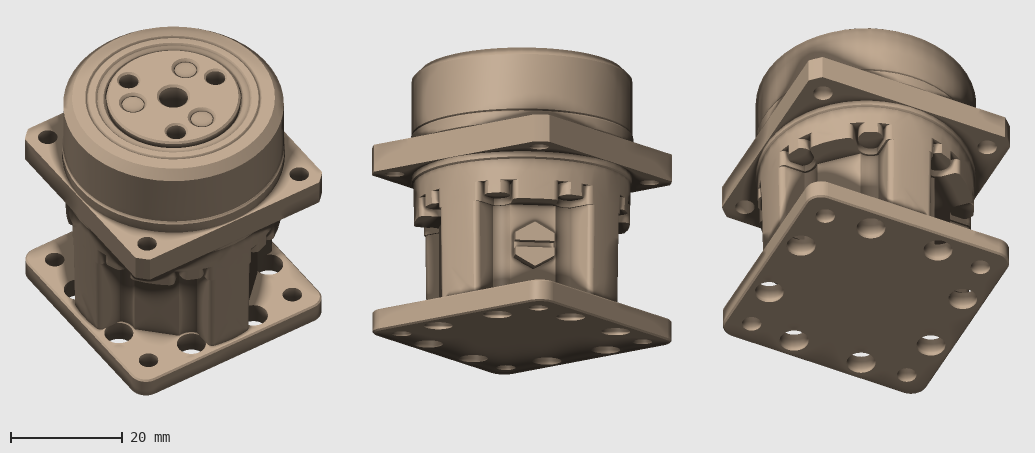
import cadquery as cq
import math

base_top = 4.0
pocket_step = 20.9
boss_bottom = 22.1
pocket_top = 24.4
cone_top = 28.2
flange_bottom = 29.5
flange_top = 34.5
collar_top = 37.1
barrel_top = 49.1
barrel_floor = 48.75
insert_top = 49.5

edge_break = 0.3
flange_width = 40.03
base_corner_radius = 3.0
flange_corner_diameter = 54.0
cone_bottom_radius = 19.05
cone_top_radius = 19.5
shoulder_radius = 19.8
collar_radius = 20.0
sleeve_radius = shoulder_radius
sleeve_chamfer = 1.6
barrel_radius = 15.55
recess_radius = 14.05
recess_slope = barrel_top - barrel_floor
insert_radius = 12.0
insert_gap = 0.3
insert_gap_depth = 1.0
insert_chamfer = 0.35

corner_hole_diameter = 3.5
flange_hole_offset = 16.3
base_hole_offset = 15.4
screw_hole_radius = 2.6
screw_near = 6.65
screw_far = 16.05
boss_radius = 2.3
mouth_fillet = 1.0
lower_channel_radius = 3.0
lower_wall = 4.28
facet_distance = 14.5
upper_wall = 4.68
upper_back_distance = 15.7
pocket_reach = 25.0

centre_hole_radius = 2.6
centre_hole_chamfer = 0.4
centre_hole_depth = 12.0
socket_circle_radius = 9.0
socket_start_angle = 90.0
socket_radius = 1.75
socket_chamfer = 0.35
socket_depth = 10.0
drill_half_angle = 59.0
pin_circle_radius = 7.45
pin_start_angle = 10.0
pin_mouth_radius = 2.55
pin_seat_radius = 2.1
pin_seat_depth = 0.45
pin_radius = 1.95
pin_gap_depth = 0.5
contacts_per_circle = 3

earth_height = 13.0
earth_seat_radius = 3.5
earth_seat_thickness = 0.5
earth_head_thickness = 2.5
earth_across_corners = 8.24
earth_slot_width = 1.25
earth_slot_depth = 1.45


def prism(shape, bottom, top):
    """Extrude a closed XY outline between two heights."""
    return shape.extrude(top - bottom).translate((0, 0, bottom))


def cylinder(x, y, radius, bottom, top):
    return prism(cq.Workplane("XY").center(x, y).circle(radius), bottom, top)


def revolve_outline(points):
    return cq.Workplane("XZ").polyline(points).close().revolve(360, (0, 0, 0), (0, 1, 0))


def square_corners(offset):
    return [(sx * offset, sy * offset) for sx in (-1, 1) for sy in (-1, 1)]


def screw_positions():
    """All eight clearance screw centres."""
    corners = [(sx, sy) for sx in (-1, 1) for sy in (-1, 1)]
    flat = [(sx * screw_near, sy * screw_far) for sx, sy in corners]
    upright = [(sx * screw_far, sy * screw_near) for sx, sy in corners]
    return flat + upright


def corner_block(near_wall, bottom, top):
    """Square block filling the +X +Y quadrant beyond two side walls."""
    size = pocket_reach - near_wall
    outline = cq.Workplane("XY").rect(size, size, centered=False)
    return prism(outline, bottom, top).translate((near_wall, near_wall, 0))


def channel_pair(radius, bottom, top):
    first = cylinder(screw_near, screw_far, radius, bottom, top)
    second = cylinder(screw_far, screw_near, radius, bottom, top)
    return first.union(second)


def lower_pocket():
    """Flat corner face with a round screw channel at each end."""
    block = corner_block(lower_wall, base_top, pocket_step)
    core_length = 2 * pocket_reach
    core = prism(cq.Workplane("XY").rect(2 * facet_distance, core_length), base_top, pocket_step)
    core = core.rotate((0, 0, 0), (0, 0, 1), 45)
    channels = channel_pair(lower_channel_radius, base_top, pocket_step)
    return block.cut(core).union(channels.intersect(block))


def upper_pocket():
    """Two separate screw channels that open outwards, a rib between them and a boss in each."""
    screw_sideways = (screw_far - screw_near) / math.sqrt(2)
    screw_distance = (screw_far + screw_near) / math.sqrt(2)
    half_chord = math.sqrt(screw_hole_radius ** 2 - (screw_distance - upper_back_distance) ** 2)
    rib_width = 2 * (screw_sideways - half_chord)
    block = corner_block(upper_wall, pocket_step, pocket_top)
    core_outline = cq.Workplane("XY").rect(2 * upper_back_distance, 2 * pocket_reach)
    core = prism(core_outline, pocket_step, pocket_top)
    rib = prism(cq.Workplane("XY").rect(2 * pocket_reach, rib_width), pocket_step, pocket_top)
    solid_middle = core.union(rib).rotate((0, 0, 0), (0, 0, 1), 45)
    channels = channel_pair(screw_hole_radius, pocket_step, pocket_top)
    bosses = channel_pair(boss_radius, boss_bottom, pocket_top)
    return block.cut(solid_middle).union(channels.intersect(block)).cut(bosses)


def add_pockets(shell, pocket):
    """Cut one pocket per quarter, then round its upright mouth edges on the cone."""
    for quarter in range(4):
        shell = shell.cut(pocket.rotate((0, 0, 0), (0, 0, 1), 90 * quarter))
    span = pocket.val().BoundingBox()

    def is_mouth_edge(edge):
        box = edge.BoundingBox()
        outside = math.hypot(edge.Center().x, edge.Center().y) > cone_bottom_radius
        full_height = abs(box.zlen - span.zlen) < edge_break
        same_level = abs(box.center.z - span.center.z) < edge_break
        return outside and full_height and same_level

    mouth_edges = [edge for edge in shell.edges().vals() if is_mouth_edge(edge)]
    return shell.newObject(mouth_edges).fillet(mouth_fillet)


def make_shell():
    """Tapered lower shell with wide lower pockets and narrow upper channels."""
    shell = revolve_outline([
        (0, base_top),
        (cone_bottom_radius, base_top),
        (cone_top_radius, cone_top),
        (0, cone_top),
    ])
    shell = add_pockets(shell, lower_pocket())
    return add_pockets(shell, upper_pocket())


def make_base():
    """Square mounting plate with corner holes and screw clearance holes."""
    base = cq.Workplane("XY").box(flange_width, flange_width, base_top, centered=(True, True, False))
    base = base.edges("|Z").fillet(base_corner_radius)
    base = base.faces("<Z or >Z").edges().chamfer(edge_break)
    corner_holes = cq.Workplane("XY").pushPoints(square_corners(base_hole_offset))
    base = base.cut(corner_holes.circle(corner_hole_diameter / 2).extrude(base_top))
    screw_holes = cq.Workplane("XY").pushPoints(screw_positions())
    return base.cut(screw_holes.circle(screw_hole_radius).extrude(base_top))


def make_flange():
    """Square upper flange whose corners are rounded about the axis."""
    outline = cq.Workplane("XY").rect(flange_width, flange_width)
    flange = prism(outline, flange_bottom, flange_top)
    flange = flange.intersect(cylinder(0, 0, flange_corner_diameter / 2, flange_bottom, flange_top))
    holes = cq.Workplane("XY").pushPoints(square_corners(flange_hole_offset))
    return flange.cut(prism(holes.circle(corner_hole_diameter / 2), flange_bottom, flange_top))


def make_turned_body():
    """Shoulder, collar, barrel and insert as one turned outline."""
    gap_outer = insert_radius + insert_gap
    gap_bottom = barrel_floor - insert_gap_depth
    return revolve_outline([
        (0, cone_top),
        (shoulder_radius - edge_break, cone_top),
        (shoulder_radius, cone_top + edge_break),
        (shoulder_radius, flange_bottom),
        (shoulder_radius, flange_top),
        (collar_radius - edge_break, flange_top),
        (collar_radius, flange_top + edge_break),
        (collar_radius, collar_top - edge_break),
        (collar_radius - edge_break, collar_top),
        (barrel_radius, collar_top),
        (barrel_radius, barrel_top - edge_break),
        (barrel_radius - edge_break, barrel_top),
        (recess_radius, barrel_top),
        (recess_radius - recess_slope, barrel_floor),
        (gap_outer + edge_break, barrel_floor),
        (gap_outer, barrel_floor - edge_break),
        (gap_outer, gap_bottom),
        (insert_radius, gap_bottom),
        (insert_radius, insert_top - insert_chamfer),
        (insert_radius - insert_chamfer, insert_top),
        (0, insert_top),
    ])


def drilled_hole(radius, chamfer, depth):
    """Chamfered blind hole with a drill point, on the axis below the insert face."""
    wall_bottom = insert_top - depth
    point_depth = radius / math.tan(math.radians(drill_half_angle))
    return revolve_outline([
        (0, insert_top),
        (radius + chamfer, insert_top),
        (radius, insert_top - chamfer),
        (radius, wall_bottom),
        (0, wall_bottom - point_depth),
    ])


def pin_cavity():
    """Conical mouth around a flush contact pin with a narrow gap beside it."""
    seat = insert_top - pin_seat_depth
    gap_bottom = seat - pin_gap_depth
    return revolve_outline([
        (0, insert_top),
        (pin_mouth_radius, insert_top),
        (pin_seat_radius, seat),
        (pin_seat_radius, gap_bottom),
        (pin_radius, gap_bottom),
        (pin_radius, seat),
        (0, seat),
    ])


def on_circle(tool, radius, start_angle):
    """Copies of an axial tool spread evenly around a circle."""
    copies = cq.Workplane("XY")
    for index in range(contacts_per_circle):
        angle = start_angle + index * 360 / contacts_per_circle
        copies = copies.add(tool.translate((radius, 0, 0)).rotate((0, 0, 0), (0, 0, 1), angle))
    return copies.combine()


def make_earth_screw():
    """Slotted hexagon head on a round seat, facing out of the -X +Y corner face."""
    head_start = facet_distance + earth_seat_thickness
    head_end = head_start + earth_head_thickness
    facing = cq.Plane(origin=(0, 0, earth_height), xDir=(1, 1, 0), normal=(-1, 1, 0))
    axis = cq.Workplane(facing)
    seat_root = facet_distance - earth_seat_thickness
    seat = axis.workplane(offset=seat_root).circle(earth_seat_radius).extrude(head_start - seat_root)
    head = axis.workplane(offset=head_start).transformed(rotate=(0, 0, 90))
    head = head.polygon(6, earth_across_corners).extrude(earth_head_thickness)
    slot = axis.workplane(offset=head_end - earth_slot_depth)
    slot = slot.rect(2 * earth_across_corners, earth_slot_width).extrude(earth_slot_depth)
    return seat.union(head.cut(slot))


def make_housing():
    housing = make_turned_body().union(make_flange()).union(make_shell()).union(make_base())
    housing = housing.union(make_earth_screw())
    housing = housing.cut(drilled_hole(centre_hole_radius, centre_hole_chamfer, centre_hole_depth))
    socket = drilled_hole(socket_radius, socket_chamfer, socket_depth)
    housing = housing.cut(on_circle(socket, socket_circle_radius, socket_start_angle))
    return housing.cut(on_circle(pin_cavity(), pin_circle_radius, pin_start_angle))


def make_sleeve():
    """Plain ring slid over the barrel, resting on the collar."""
    return revolve_outline([
        (barrel_radius, collar_top),
        (sleeve_radius - edge_break, collar_top),
        (sleeve_radius, collar_top + edge_break),
        (sleeve_radius, barrel_top - sleeve_chamfer),
        (sleeve_radius - sleeve_chamfer, barrel_top),
        (barrel_radius + edge_break, barrel_top),
        (barrel_radius, barrel_top - edge_break),
    ])


housing = make_housing()
sleeve = make_sleeve()
result = cq.Compound.makeCompound([housing.val(), sleeve.val()])